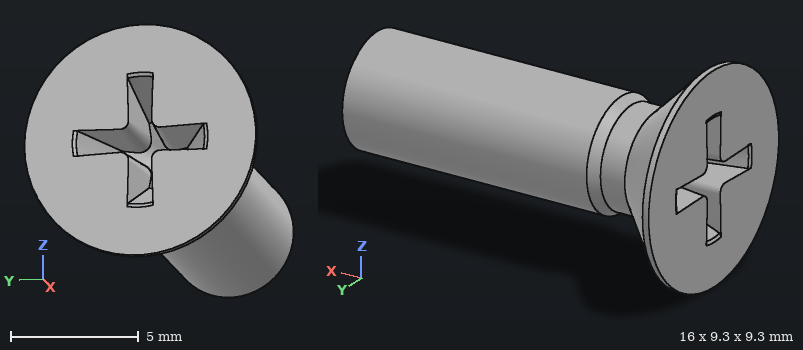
import cadquery as cq
import math

length = 16.0
head_diameter = 9.3
rim_length = 0.29
neck_diameter = 4.48
neck_start = rim_length + (head_diameter - neck_diameter) / 2
neck_length = 1.14
shank_diameter = 5.0
shoulder_length = 0.48
tip_diameter = 4.13
tip_length = 0.25

wing_radius = 2.72
lip_step = 0.15
lip_depth = 0.06
core_radius = 1.33
wing_end_angle = 26.5
floor_angle = 28.0
mouth_root_half_width = 0.46
mouth_tip_half_width = 0.52
floor_root_half_width = 0.24
floor_tip_half_width = 0.22
corner_reach = 0.8

wing_end_radius = wing_radius - lip_step
core_depth = lip_depth + (wing_end_radius - core_radius) / math.tan(math.radians(wing_end_angle))
recess_depth = core_depth + core_radius * math.tan(math.radians(floor_angle))


def revolve_about_x(points):
    """Turn a closed (x, radius) outline about the X axis."""
    return cq.Workplane("XY").polyline(points).close().revolve(360, (0, 0, 0), (1, 0, 0))


def make_body():
    neck_end = neck_start + neck_length
    return revolve_about_x([
        (0, 0),
        (0, head_diameter / 2),
        (rim_length, head_diameter / 2),
        (neck_start, neck_diameter / 2),
        (neck_end, neck_diameter / 2),
        (neck_end + shoulder_length, shank_diameter / 2),
        (length - tip_length, shank_diameter / 2),
        (length, tip_diameter / 2),
        (length, 0),
    ])


def cross_wire(offset, root_half_width, tip_half_width):
    """Cross at the given depth: four flaring wings joined by round inner corners."""
    corner_radius = corner_reach - root_half_width
    corner_middle = corner_reach - corner_radius / math.sqrt(2)
    cross = cq.Workplane("YZ", origin=(offset, 0, 0)).moveTo(corner_reach, -root_half_width)
    for quarter in range(4):
        def turned(u, v):
            for _ in range(quarter):
                u, v = -v, u
            return u, v

        cross = (
            cross.lineTo(*turned(wing_radius, -tip_half_width))
            .lineTo(*turned(wing_radius, tip_half_width))
            .lineTo(*turned(corner_reach, root_half_width))
            .threePointArc(
                turned(corner_middle, corner_middle),
                turned(root_half_width, corner_reach),
            )
        )
    return cross.close().val()


def make_recess():
    depth_ratio = recess_depth / core_depth
    bottom_root = mouth_root_half_width + (floor_root_half_width - mouth_root_half_width) * depth_ratio
    bottom_tip = mouth_tip_half_width + (floor_tip_half_width - mouth_tip_half_width) * depth_ratio
    mouth = cross_wire(0, mouth_root_half_width, mouth_tip_half_width)
    bottom = cross_wire(recess_depth, bottom_root, bottom_tip)
    cross = cq.Workplane(cq.Solid.makeLoft([mouth, bottom], True))
    envelope = revolve_about_x([
        (0, 0),
        (0, wing_radius),
        (lip_depth, wing_end_radius),
        (core_depth, core_radius),
        (recess_depth, 0),
    ])
    return cross.intersect(envelope)


result = make_body().cut(make_recess())